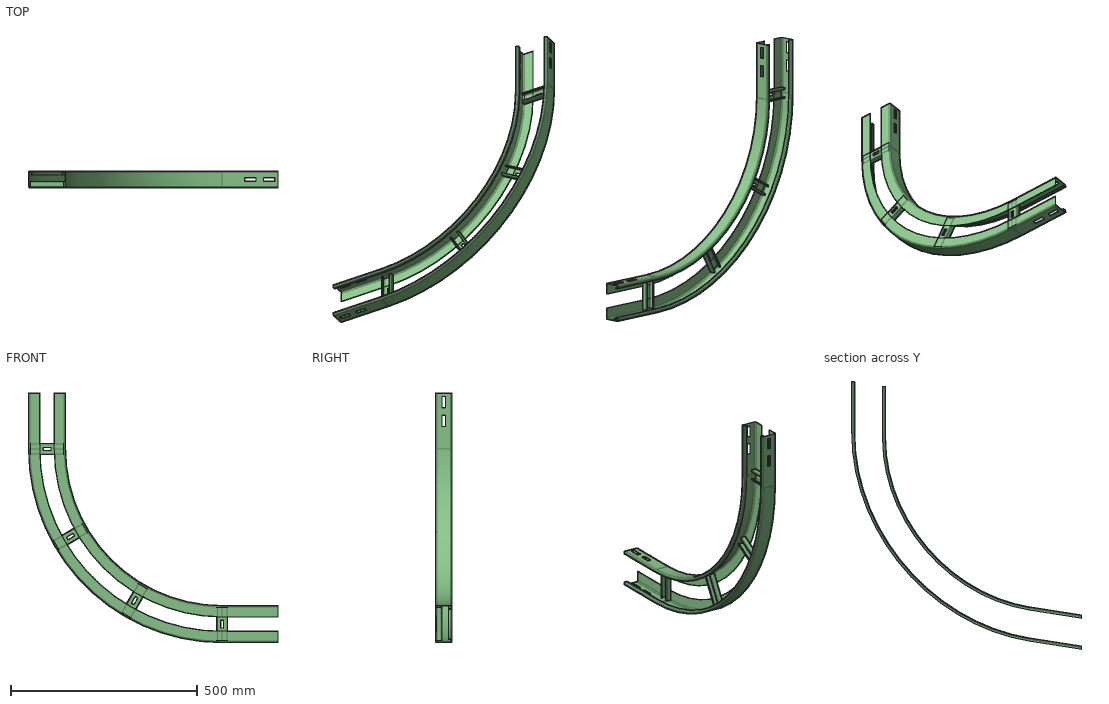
import cadquery as cq
import math


overall_size = 670.0
ladder_depth = 45.0
ladder_width = 100.0
straight_length = 150.0
sheet_thickness = 1.7

flange_width = 31.0
lip_width = 10.0
lip_return = 10.0
rail_bend_radius = 4.0

rail_slot_length = 29.5
rail_slot_width = 9.0
first_slot_distance = 24.0
rail_slot_pitch = 50.0

rung_count = 4
rung_width = 30.0
rung_end_gap = 5.5
rung_length = ladder_width - 2 * rung_end_gap
rung_depth = 15.5
rung_bend_radius = 2.0
rung_lip_width = 5.5
rung_slot_length = 20.0
rung_slot_width = 7.5

outer_radius = overall_size - straight_length
inner_radius = outer_radius - ladder_width
middle_radius = outer_radius - ladder_width / 2
bend_angle = 90.0
bend_centre = (outer_radius, 0, outer_radius)


def rail_section(web_radius, inward):
    """Closed outline of a rail, X being the distance from the bend centre.

    The outside of the web is at web_radius; inward (+1 or -1) is the direction
    from the web to the middle of the ladder.
    """
    def at(depth_from_web, y):
        return (web_radius + inward * depth_from_web, y)

    t = sheet_thickness
    radius = rail_bend_radius
    back = ladder_depth
    return_end = back - lip_return
    outer_mid = radius * (1 - math.sqrt(0.5))
    inner_mid = t + (radius - t) * (1 - math.sqrt(0.5))
    return (
        cq.Workplane("XY")
        .moveTo(*at(flange_width, 0))
        .lineTo(*at(radius, 0))
        .threePointArc(at(outer_mid, outer_mid), at(0, radius))
        .lineTo(*at(0, back - radius))
        .threePointArc(at(outer_mid, back - outer_mid), at(radius, back))
        .lineTo(*at(lip_width - radius, back))
        .threePointArc(at(lip_width - outer_mid, back - outer_mid), at(lip_width, back - radius))
        .lineTo(*at(lip_width, return_end))
        .lineTo(*at(lip_width - t, return_end))
        .lineTo(*at(lip_width - t, back - radius))
        .threePointArc(at(lip_width - inner_mid, back - inner_mid), at(lip_width - radius, back - t))
        .lineTo(*at(radius, back - t))
        .threePointArc(at(inner_mid, back - inner_mid), at(t, back - radius))
        .lineTo(*at(t, radius))
        .threePointArc(at(inner_mid, inner_mid), at(radius, t))
        .lineTo(*at(flange_width, t))
        .close()
    )


def make_rail(web_radius, inward):
    """One rail: an upright straight end, a quarter-circle bend and a level straight end."""
    straight = rail_section(web_radius, inward).extrude(straight_length)
    for slot_distance in (first_slot_distance, first_slot_distance + rail_slot_pitch):
        slot = cq.Workplane("XY").box(2 * rail_bend_radius, rail_slot_width, rail_slot_length)
        slot_place = (web_radius, ladder_depth / 2, straight_length - slot_distance)
        straight = straight.cut(slot.translate(slot_place))

    upright = straight.mirror("YZ")
    level = upright.rotate((0, 0, 0), (1, 0, 1), 180).mirror("XZ")
    bend = rail_section(web_radius, inward).revolve(bend_angle, (0, 0, 0), (0, 1, 0))
    bend = bend.rotate((0, 0, 0), (0, 1, 0), bend_angle)
    rail = upright.union(bend, clean=False).union(level, clean=False)
    return rail.translate(bend_centre)


def make_rung(angle):
    """One channel-shaped rung with its mouth and two short lips at the back.

    It is modelled along X, pointing away from the bend centre, and then turned by angle about that centre.
    """
    outside = (
        cq.Workplane("XY")
        .box(rung_length, rung_depth, rung_width)
        .edges("|X")
        .fillet(rung_bend_radius)
    )
    inside = (
        cq.Workplane("XY")
        .box(rung_length, rung_depth - 2 * sheet_thickness, rung_width - 2 * sheet_thickness)
        .edges("|X")
        .fillet(rung_bend_radius - sheet_thickness)
    )
    mouth = (
        cq.Workplane("XY")
        .box(rung_length, rung_depth, rung_width - 2 * rung_lip_width)
        .translate((0, rung_depth / 2, 0))
    )
    slot = cq.Workplane("XY").box(rung_slot_length, 2 * rung_depth, rung_slot_width)
    rung = outside.cut(inside).cut(mouth).cut(slot)

    rung = rung.translate((middle_radius, sheet_thickness + rung_depth / 2, 0))
    return rung.rotate((0, 0, 0), (0, 1, 0), angle).translate(bend_centre)


outer_rail = make_rail(outer_radius, -1)
inner_rail = make_rail(inner_radius, 1)

rung_pitch_angle = bend_angle / (rung_count - 1)
rungs = [make_rung(bend_angle + index * rung_pitch_angle) for index in range(rung_count)]

result = cq.Compound.makeCompound(
    [outer_rail.val(), inner_rail.val(), *[rung.val() for rung in rungs]]
)